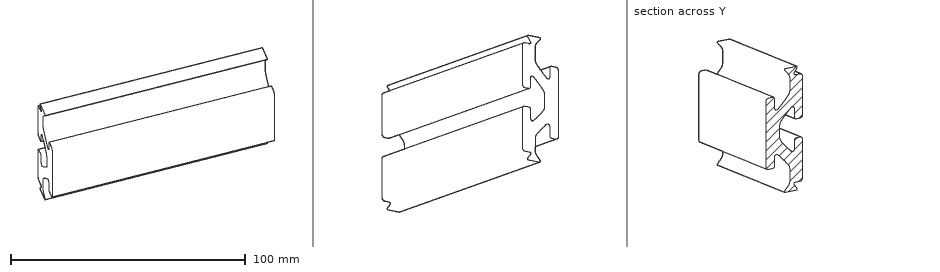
import cadquery as cq
import math

length = 100.0
width = 19.3
height = 55.2

lip_top = height / 2
jaw_top = 24.0
jaw_bottom = 4.1
flange_top = 15.95

jaw_wall = 4.4
web_face = 6.9
floor_face = 11.9
flange_face = 14.65

lip_left = 2.3
lip_right = 10.35
lip_left_angle = math.radians(53)
lip_right_angle = math.radians(46)

slot_flank_top = 11.0
slot_flank_bottom = 3.6
rear_flank_top = 16.4
rear_flank_bottom = 8.85
flank_bulge = 0.27

outer_radius = 1.5
inner_radius = 1.0
lip_radius = 0.5
bend_radius = 3.0


def flank_middle(start, end):
    """Middle point of a shallow arc that bows to the right of start -> end."""
    dx = end[0] - start[0]
    dz = end[1] - start[1]
    chord = math.hypot(dx, dz)
    middle_x = (start[0] + end[0]) / 2 + flank_bulge * dz / chord
    middle_z = (start[1] + end[1]) / 2 - flank_bulge * dx / chord
    return middle_x, middle_z


lip_height = lip_top - jaw_top
lip_root_left = (lip_left + lip_height / math.tan(lip_left_angle), jaw_top)
lip_root_right = (web_face, lip_top - (lip_right - web_face) * math.tan(lip_right_angle))
slot_flank = [(floor_face, slot_flank_bottom), (jaw_wall, slot_flank_top)]
rear_flank = [(web_face, rear_flank_top), (flange_face, rear_flank_bottom)]

corner_radii = [
    (slot_flank[0], bend_radius),
    (slot_flank[1], inner_radius),
    ((jaw_wall, jaw_bottom), inner_radius),
    ((0, jaw_bottom), outer_radius),
    ((0, jaw_top), outer_radius),
    (lip_root_left, lip_radius),
    ((lip_left, lip_top), lip_radius),
    ((lip_right, lip_top), lip_radius),
    (lip_root_right, bend_radius),
    (rear_flank[0], bend_radius),
    (rear_flank[1], inner_radius),
    ((flange_face, flange_top), inner_radius),
    ((width, flange_top), outer_radius),
]


def sharp_half():
    """Upper half of the profile with sharp corners, extruded along Y and centred on it."""
    return (
        cq.Workplane("XZ")
        .moveTo(floor_face, 0)
        .lineTo(*slot_flank[0])
        .threePointArc(flank_middle(*slot_flank), slot_flank[1])
        .lineTo(jaw_wall, jaw_bottom)
        .lineTo(0, jaw_bottom)
        .lineTo(0, jaw_top)
        .lineTo(*lip_root_left)
        .lineTo(lip_left, lip_top)
        .lineTo(lip_right, lip_top)
        .lineTo(*lip_root_right)
        .lineTo(*rear_flank[0])
        .threePointArc(flank_middle(*rear_flank), rear_flank[1])
        .lineTo(flange_face, flange_top)
        .lineTo(width, flange_top)
        .lineTo(width, 0)
        .close()
        .extrude(length / 2, both=True)
    )


def round_corners(body):
    """Round every long edge of the half profile with its own radius."""
    for (x, z), radius in corner_radii:
        edge = cq.selectors.NearestToPointSelector((x, 0, z))
        body = body.edges("|Y").edges(edge).fillet(radius)
    return body


upper_half = round_corners(sharp_half())
lower_half = upper_half.mirror("XY")
result = upper_half.union(lower_half, clean=True).translate((-width / 2, 0, 0))